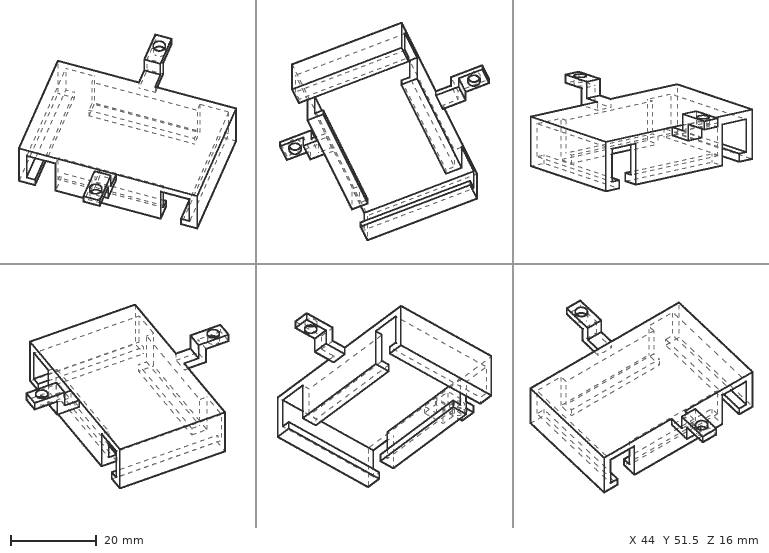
import cadquery as cq

housing_width = 44.0
housing_depth = 27.9
housing_height = 12.0
sheet = 2.0
wall = 1.9
lip_reach = 4.0
end_wall_width = 26.0

overall_length = 51.45
tab_width = 4.0
tab_rise = 4.0
ear_length = 5.95
hole_diameter = 2.9
hole_to_end = 3.0

end_y = overall_length / 2
face_x = housing_width / 2
face_y = housing_depth / 2
riser_outer_y = end_y - ear_length
riser_inner_y = riser_outer_y - sheet
tab_top = housing_height + tab_rise


def block(width, start_y, finish_y, bottom, top):
    """Box centred on X, given by its Y and Z limits."""
    return (
        cq.Workplane("XY", origin=(0, (start_y + finish_y) / 2, bottom))
        .box(width, finish_y - start_y, top - bottom, centered=(True, True, False))
    )


def make_lipped_wall(width, face):
    """Wall on the +Y side, its outer face at y = face, with an inward lip at the foot."""
    upright = block(width, face - wall, face, 0, housing_height)
    lip = block(width, face - lip_reach, face, 0, sheet)
    return upright.union(lip)


def make_housing():
    """Top plate with two full-length side walls and two narrower end walls."""
    body = block(housing_width, -face_y, face_y, housing_height - sheet, housing_height)
    side_wall = make_lipped_wall(housing_depth, face_x).rotate((0, 0, 0), (0, 0, 1), 90)
    end_wall = make_lipped_wall(end_wall_width, face_y)
    for turn in (0, 180):
        body = body.union(side_wall.rotate((0, 0, 0), (0, 0, 1), turn))
        body = body.union(end_wall.rotate((0, 0, 0), (0, 0, 1), turn))
    return body.clean()


def make_tab():
    """Arm, riser and drilled ear on the +Y end, kept as distinct faces where they join."""
    arm = block(tab_width, face_y, riser_outer_y, housing_height - sheet, housing_height)
    riser = block(tab_width, riser_inner_y, riser_outer_y, housing_height, tab_top)
    ear = block(tab_width, riser_outer_y, end_y, tab_top - sheet, tab_top)
    hole = cq.Workplane("XY", origin=(0, end_y - hole_to_end, 0)).circle(hole_diameter / 2).extrude(tab_top)
    return arm.union(riser, clean=False).union(ear, clean=False).cut(hole, clean=False)


housing = make_housing().union(make_tab(), clean=False)
separate_tab = make_tab().rotate((0, 0, 0), (0, 0, 1), 180)

result = cq.Compound.makeCompound([housing.solids().val(), separate_tab.solids().val()])